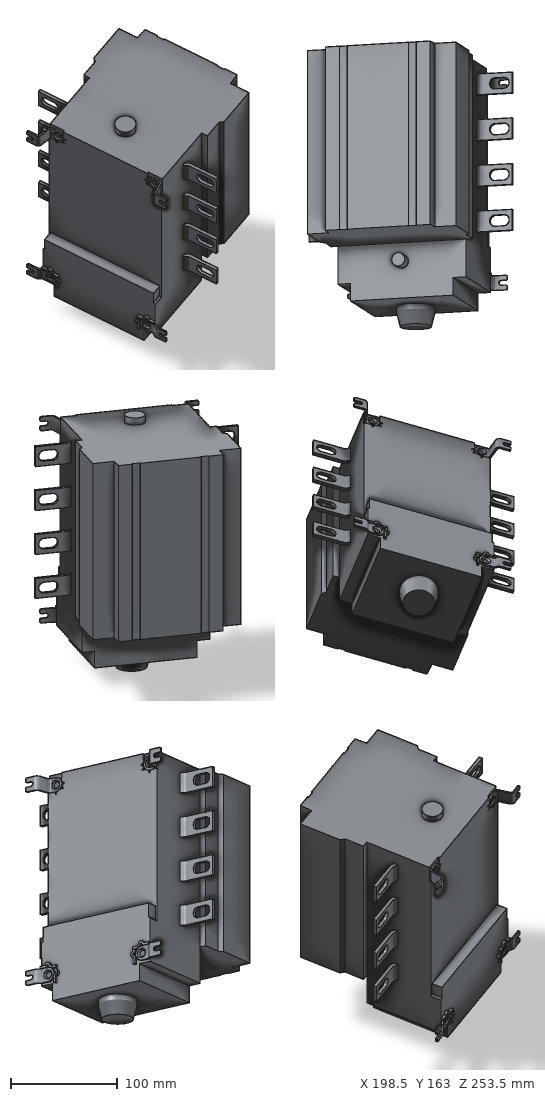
import cadquery as cq
import math


half_width = 62.6
shelf_half_width = 50.2
front_y = 15.2
cover_y = 4.5
step_y = 84.7
rear_y = 163.0
housing_bottom_z = 18.8
shelf_z = 35.5
slab_bottom_z = 71.5
cover_top_z = 93.3
housing_top_z = 246.5

relief_depth = 1.8
relief_bevel_top_z = 80.0

slab_half_width = 72.5
slab_neck_half_width = 69.0
slab_neck_y = 104.5
slab_bevel = slab_half_width - slab_neck_half_width
slab_shoulder_y = 150.6
rail_base_half_width = 52.0
rail_half_width = 51.2
groove_inner_x = 30.0
groove_outer_x = 37.5
groove_depth = 1.0

button_radius = 10.0
button_y = 50.0
button_top_z = 253.5
peg_radius = 6.3
peg_length = 12.0
peg_z = 53.5
knob_radius = 18.0
knob_tip_radius = 14.7
knob_y = 39.3
knob_rim_height = 5.5

pole_count = 4
pole_pitch = 43.5
first_pole_z = 93.3
terminal_span = 198.5
terminal_tip_x = terminal_span / 2
terminal_end_x = 63.7
terminal_width = 19.8
terminal_thickness = 3.3
terminal_front_y = 53.3
terminal_bend_x = 68.2
terminal_bend_angle = math.radians(30)
terminal_bend_radius = 3.3
terminal_slot_x = 86.7
terminal_slot_length = 19.0
terminal_slot_width = 10.7

sheet = 1.8
clip_half_span = 77.9
clip_width = 14.0
clip_hole_x = 54.0
clip_hole_radius = 3.0
countersink_radius = 4.5
clip_slot_end_x = 69.7
clip_slot_width = 4.5
prong_radius = 1.5
clip_foot_radius = clip_width / 2

upper_clip_z = 235.8
upper_seat_depth = 1.9
upper_foot_y = front_y + upper_seat_depth - sheet
upper_bend_x = 64.2
upper_leg_end_x = 60.9
upper_bend_radius = 2.3

lower_clip_z = 45.0
lower_foot_y = cover_y - sheet
lower_bend_x = 65.7
lower_leg_end_x = 61.5
lower_bend_radius = 1.0

seat_corner_u = 7.0
seat_star_points = [
    (seat_corner_u, -5.5), (6.0, -2.5), (10.0, 0), (6.3, 2.5), (8.5, 5.3), (4.0, 5.3),
    (2.0, 6.0), (0, 9.6), (-2.0, 6.0), (-2.0, -5.5),
]
pad_y = 1.9
pad_wall_u = 9.1
pad_edge_v = 9.5
pad_ear_u = 10.0
pad_ear_v = 7.5
pad_ear_root_u = 4.3
pad_bump_half_width = 2.8
pad_bump_reach = 12.0


def both_sides(solid):
    """A shape together with its mirror image across X = 0, as one Workplane."""
    return solid.union(solid.mirror("YZ"))


def box_between(x_limits, y_limits, z_limits):
    sizes = [limits[1] - limits[0] for limits in (x_limits, y_limits, z_limits)]
    return cq.Workplane("XY").box(*sizes, centered=False).translate(
        (x_limits[0], y_limits[0], z_limits[0])
    )


def facing_front(x, y, z):
    """Workplane with its local X along X, local Y along Z and its normal toward -Y."""
    return cq.Workplane("XZ", origin=(x, y, z))


def round_bend(strip, corner, radius):
    """Round the vertical bend edge of a sheet strip that passes through (x, y) at mid-height."""
    at_corner = cq.selectors.NearestToPointSelector((*corner, 0))
    return strip.edges(at_corner).fillet(radius)


def rear_slab():
    right_edge = [
        (slab_neck_half_width, step_y),
        (slab_neck_half_width, slab_neck_y),
        (slab_half_width, slab_neck_y + slab_bevel),
        (slab_half_width, slab_shoulder_y),
        (rail_base_half_width, slab_shoulder_y),
        (rail_half_width, rear_y),
        (groove_outer_x, rear_y),
        (groove_outer_x, rear_y - groove_depth),
        (groove_inner_x, rear_y - groove_depth),
        (groove_inner_x, rear_y),
    ]
    left_edge = [(-x, y) for x, y in reversed(right_edge)]
    return (
        cq.Workplane("XY", origin=(0, 0, slab_bottom_z))
        .polyline(right_edge + left_edge).close()
        .extrude(housing_top_z - slab_bottom_z)
    )


def lower_cover():
    relief_x = half_width - relief_depth
    right_edge = [
        (half_width, shelf_z),
        (half_width, relief_bevel_top_z - relief_depth),
        (relief_x, relief_bevel_top_z),
        (relief_x, cover_top_z),
    ]
    left_edge = [(-x, z) for x, z in reversed(right_edge)]
    return (
        facing_front(0, front_y, 0)
        .polyline(right_edge + left_edge).close()
        .extrude(front_y - cover_y)
    )


def housing_block():
    main = box_between((-half_width, half_width), (front_y, step_y), (shelf_z, housing_top_z))
    bottom_end = box_between(
        (-shelf_half_width, shelf_half_width), (cover_y, step_y), (housing_bottom_z, shelf_z)
    )
    return main.union(rear_slab()).union(lower_cover()).union(bottom_end)


def button():
    return (
        cq.Workplane("XY", origin=(0, button_y, housing_top_z))
        .circle(button_radius).extrude(button_top_z - housing_top_z)
    )


def rear_peg():
    return facing_front(0, step_y, peg_z).circle(peg_radius).extrude(-peg_length)


def knob():
    rim_z = housing_bottom_z - knob_rim_height
    half_section = [
        (0, 0), (knob_tip_radius, 0), (knob_radius, rim_z),
        (knob_radius, housing_bottom_z), (0, housing_bottom_z),
    ]
    return (
        cq.Workplane("XZ").polyline(half_section).close()
        .revolve(360, (0, 0), (0, 1)).translate((0, knob_y, 0))
    )


def clip_seat(floor_y, depth, hole_z, edge_z):
    """Left pocket around a clip foot, open to the housing side and to the edge at edge_z."""
    v_sign = 1 if edge_z < hole_z else -1
    to_side = half_width - clip_hole_x
    edge_v = (edge_z - hole_z) * v_sign
    plane = facing_front(-clip_hole_x, floor_y, hole_z)
    star = plane.polyline([(u, v * v_sign) for u, v in seat_star_points]).close().extrude(depth)
    foot_end = plane.circle(clip_foot_radius).extrude(depth)
    channel = plane.center(-to_side / 2, 0).rect(to_side, clip_width).extrude(depth)
    corner = (
        plane.moveTo(-to_side, edge_v * v_sign).lineTo(seat_corner_u, edge_v * v_sign)
        .lineTo(seat_corner_u, seat_star_points[0][1] * v_sign)
        .lineTo(0, 0).lineTo(-to_side, 0).close().extrude(depth)
    )
    return star.union(foot_end).union(channel).union(corner)


def seat_pad():
    """Left raised pad that frames the foot of a lower clip."""
    to_side = half_width - clip_hole_x
    bottom_v = shelf_z - lower_clip_z
    return (
        facing_front(-clip_hole_x, cover_y, lower_clip_z)
        .moveTo(-to_side, bottom_v)
        .lineTo(pad_wall_u, bottom_v)
        .lineTo(pad_wall_u, -pad_bump_half_width)
        .threePointArc((pad_bump_reach, 0), (pad_ear_u, pad_bump_half_width))
        .lineTo(pad_ear_u, pad_ear_v)
        .lineTo(pad_ear_root_u, pad_ear_v)
        .lineTo(pad_bump_half_width, pad_edge_v)
        .threePointArc((0, pad_bump_reach), (-pad_bump_half_width, pad_edge_v))
        .lineTo(-to_side, pad_edge_v)
        .close()
        .extrude(cover_y - pad_y)
    )


def bent_strip(bend_x, leg_end_x, foot_y, bend_radius):
    """Sheet profile of a left clip: flange on the mounting plane, sloping leg, then foot."""
    foot_tip_x = -clip_hole_x + clip_foot_radius
    bend_angle = math.atan2(foot_y, bend_x - leg_end_x)
    miter = sheet * math.tan(bend_angle / 2)
    strip = (
        cq.Workplane("XY")
        .moveTo(-clip_half_span, 0)
        .lineTo(-bend_x, 0)
        .lineTo(-leg_end_x, foot_y)
        .lineTo(foot_tip_x, foot_y)
        .lineTo(foot_tip_x, foot_y + sheet)
        .lineTo(-leg_end_x - miter, foot_y + sheet)
        .lineTo(-bend_x - miter, sheet)
        .lineTo(-clip_half_span, sheet)
        .close()
        .extrude(clip_width / 2, both=True)
    )
    outer_radius = bend_radius + sheet
    strip = round_bend(strip, (-bend_x - miter, sheet), bend_radius)
    strip = round_bend(strip, (-leg_end_x, foot_y), bend_radius)
    strip = round_bend(strip, (-bend_x, 0), outer_radius)
    return round_bend(strip, (-leg_end_x - miter, foot_y + sheet), outer_radius)


def clip_outline(back_y):
    """Front outline of a left clip: rounded foot end, slotted flange end."""
    length = clip_half_span - clip_hole_x
    plate = (
        facing_front(-clip_hole_x - length / 2, back_y, 0)
        .rect(length, clip_width).extrude(back_y)
    )
    foot_end = facing_front(-clip_hole_x, back_y, 0).circle(clip_foot_radius).extrude(back_y)
    slot_length = 2 * (clip_half_span - clip_slot_end_x)
    slot = (
        facing_front(-clip_half_span, back_y, 0)
        .slot2D(slot_length, clip_slot_width).extrude(back_y)
    )
    prongs = plate.cut(slot).edges("|Y and <X").fillet(prong_radius)
    return prongs.union(foot_end)


def countersunk_hole(foot_y):
    half_section = [
        (0, foot_y), (countersink_radius, foot_y),
        (clip_hole_radius, foot_y + sheet), (0, foot_y + sheet),
    ]
    return (
        cq.Workplane("XY").polyline(half_section).close()
        .revolve(360, (0, 0), (0, 1)).translate((-clip_hole_x, 0, 0))
    )


def left_clip(z, bend_x, leg_end_x, foot_y, bend_radius):
    return (
        bent_strip(bend_x, leg_end_x, foot_y, bend_radius)
        .intersect(clip_outline(foot_y + sheet))
        .cut(countersunk_hole(foot_y))
        .translate((0, 0, z))
    )


def make_housing():
    upper_seat = clip_seat(front_y + upper_seat_depth, upper_seat_depth, upper_clip_z, housing_top_z)
    lower_seat = clip_seat(cover_y, cover_y - pad_y, lower_clip_z, shelf_z)
    lower_pad = seat_pad().cut(lower_seat)
    upper_clip = left_clip(
        upper_clip_z, upper_bend_x, upper_leg_end_x, upper_foot_y, upper_bend_radius
    )
    lower_clip = left_clip(
        lower_clip_z, lower_bend_x, lower_leg_end_x, lower_foot_y, lower_bend_radius
    )
    return (
        housing_block()
        .union(button()).union(rear_peg()).union(knob())
        .cut(both_sides(upper_seat))
        .union(both_sides(lower_pad))
        .union(both_sides(upper_clip))
        .union(both_sides(lower_clip))
    )


def make_right_terminal(z):
    """Slotted flat tab whose inner end is bent toward the front."""
    bend_drop = (terminal_bend_x - terminal_end_x) * math.tan(terminal_bend_angle)
    miter = terminal_thickness * math.tan(terminal_bend_angle / 2)
    back_y = terminal_front_y + terminal_thickness
    end_height = terminal_thickness / math.cos(terminal_bend_angle)
    front_bend = (terminal_bend_x, terminal_front_y)
    back_bend = (terminal_bend_x - miter, back_y)
    terminal = (
        cq.Workplane("XY")
        .polyline([
            (terminal_end_x, terminal_front_y - bend_drop),
            front_bend,
            (terminal_tip_x, terminal_front_y),
            (terminal_tip_x, back_y),
            back_bend,
            (terminal_end_x, terminal_front_y - bend_drop + end_height),
        ]).close()
        .extrude(terminal_width / 2, both=True)
    )
    terminal = round_bend(terminal, front_bend, terminal_bend_radius)
    terminal = round_bend(terminal, back_bend, terminal_bend_radius + terminal_thickness)
    slot = (
        facing_front(terminal_slot_x, terminal_front_y, 0)
        .slot2D(terminal_slot_length, terminal_slot_width).extrude(-terminal_thickness)
    )
    return terminal.cut(slot).translate((0, 0, z))


housing = make_housing()

terminals = []
for pole in range(pole_count):
    right_terminal = make_right_terminal(first_pole_z + pole * pole_pitch)
    terminals.append(right_terminal)
    terminals.append(right_terminal.mirror("YZ"))

housing_solid = housing.solids().val()
terminal_solids = [terminal.solids().val() for terminal in terminals]
result = cq.Compound.makeCompound([housing_solid, *terminal_solids])